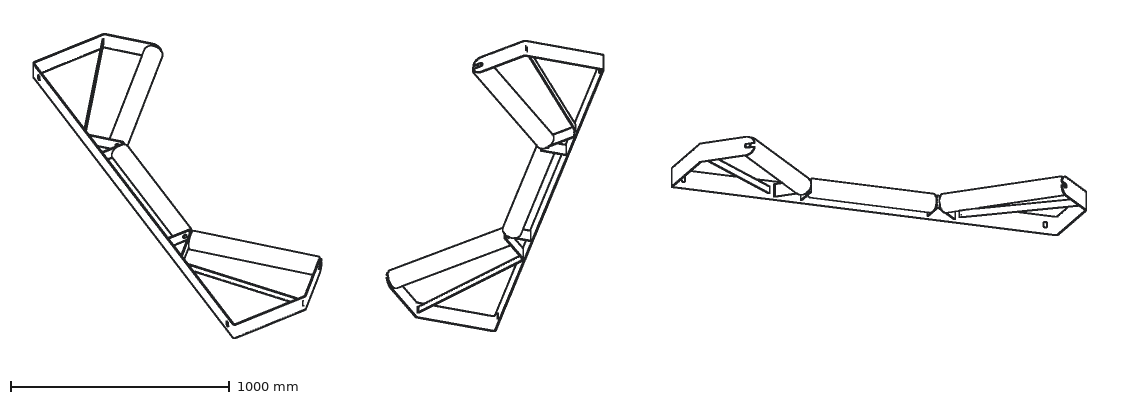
import cadquery as cq
import math

frame_length = 1890.0
strap_width = 89.0
strap_thickness = 5.0
bend_radius = 11.0
arm_tip_height = 569.0
knee_height = 376.0

mount_slot_inset = 60.0
mount_slot_width = 17.0
mount_slot_height = 28.0

roller_diameter = strap_width
roller_length = 601.0
roller_end_radius = 5.0
shaft_diameter = 19.0
shaft_length = 624.0
middle_roller_height = 98.0
wing_roller_drop = 34.0
shaft_slot_depth = 50.0

bracket_width = 60.0
bracket_height = 127.0
bracket_post_distance = 306.0
bracket_foot_distance = 445.0

brace_width = 34.0
brace_thickness = 5.0
brace_wall_height = 370.0
brace_base_distance = 463.0

half_length = frame_length / 2
wall_inner = half_length - strap_thickness
diagonal = math.sqrt(0.5)
arm_rise = arm_tip_height - knee_height
arm_tip_distance = half_length - arm_rise
knee_miter = strap_thickness * math.tan(math.radians(45) / 2)
shell_margin = (shaft_length - roller_length) / 2
sides = (-1, 1)
up = cq.Vector(0, 0, 1)


def extrude_outline(points, width):
    """Solid of the given plan outline, centred on the XY plane."""
    return cq.Workplane("XY").polyline(points).close().extrude(width / 2, both=True)


def on_side(side, half_outline):
    """Plan points for one side of the frame; each X is a distance from the middle."""
    return [(side * x, y) for x, y in half_outline]


def wing_axis(side):
    """Direction of a wing roller's shaft, from the arm down to the bracket."""
    return cq.Vector(-side * diagonal, -diagonal, 0)


def arm_point(side, drop):
    """Point on the middle of an arm's outer face, a given distance along it from the tip."""
    x = arm_tip_distance + drop * diagonal
    y = arm_tip_height - drop * diagonal
    return cq.Vector(side * x, y, 0)


middle_axis = cq.Vector(1, 0, 0)
middle_start = cq.Vector(-shaft_length / 2, middle_roller_height, 0)


def wing_start(side):
    """Upper end of a wing shaft, flush with the outer face of its arm."""
    return arm_point(side, wing_roller_drop)


def make_rod(start, axis, diameter, length):
    plane = cq.Plane(origin=start, xDir=up, normal=axis)
    return cq.Workplane(plane).circle(diameter / 2).extrude(length)


def make_shaft(start, axis):
    return make_rod(start, axis, shaft_diameter, shaft_length)


def make_roller(start, axis):
    shell = make_rod(start + axis * shell_margin, axis, roller_diameter, roller_length)
    shell = shell.edges("%CIRCLE").fillet(roller_end_radius)
    return shell.union(make_shaft(start, axis))


def arm_cutter_plane(side, drop):
    """Plane parallel to an arm, just outside it, with its X axis pointing to the arm tip."""
    axis = wing_axis(side)
    toward_tip = cq.Vector(-side * diagonal, diagonal, 0)
    return cq.Plane(origin=arm_point(side, drop) - axis * strap_thickness, xDir=toward_tip, normal=axis)


arm_cutter_depth = 3 * strap_thickness


def make_arm_end_waste(side):
    """Material outside the fully rounded end of an arm."""
    end = cq.Workplane(arm_cutter_plane(side, strap_width / 2))
    block = end.center(strap_width / 2, 0).rect(strap_width, strap_width).extrude(arm_cutter_depth)
    return block.cut(end.circle(strap_width / 2).extrude(arm_cutter_depth))


def make_shaft_slot(side):
    """Round-bottomed slot for a wing shaft, open at the arm tip."""
    slot = cq.Workplane(arm_cutter_plane(side, shaft_slot_depth - shaft_diameter / 2))
    bottom = slot.circle(shaft_diameter / 2).extrude(arm_cutter_depth)
    mouth = slot.center(shaft_slot_depth / 2, 0).rect(shaft_slot_depth, shaft_diameter)
    return bottom.union(mouth.extrude(arm_cutter_depth))


def make_mount_slot(side):
    centre = (side * (half_length - mount_slot_inset), strap_thickness, 0)
    slot = cq.Workplane("XZ", origin=centre).slot2D(mount_slot_height, mount_slot_width, 90)
    return slot.extrude(strap_thickness)


def make_frame():
    corner = (half_length, 0)
    knee = (half_length, knee_height)
    tip = (arm_tip_distance, arm_tip_height)
    inner_tip = (tip[0] - strap_thickness * diagonal, tip[1] - strap_thickness * diagonal)
    inner_knee = (wall_inner, knee_height - knee_miter)
    inner_corner = (wall_inner, strap_thickness)
    half_outline = [corner, knee, tip, inner_tip, inner_knee, inner_corner]
    outline = on_side(1, half_outline) + on_side(-1, reversed(half_outline))
    frame = extrude_outline(outline, strap_width)

    inner_radius = bend_radius - strap_thickness
    bends = [
        (corner, bend_radius),
        (knee, bend_radius),
        (inner_corner, inner_radius),
        (inner_knee, inner_radius),
    ]
    for side in sides:
        for (x, y), radius in bends:
            bend_edge = cq.selectors.NearestToPointSelector((side * x, y, 0))
            frame = frame.edges("|Z").edges(bend_edge).fillet(radius)
        frame = frame.cut(make_arm_end_waste(side))
        frame = frame.cut(make_shaft_slot(side))
        frame = frame.cut(make_mount_slot(side))
    return frame


def make_bracket(side):
    """Bent strap: upright post, short flat top and a leg sloping down to the base at 45 degrees."""
    post_far = bracket_post_distance + strap_thickness
    top_underside = bracket_height - strap_thickness
    leg_top = bracket_foot_distance - top_underside
    leg_inner_foot = bracket_foot_distance - strap_thickness / diagonal
    half_outline = [
        (bracket_post_distance, strap_thickness),
        (bracket_post_distance, bracket_height),
        (leg_top, bracket_height),
        (bracket_foot_distance, strap_thickness),
        (leg_inner_foot, strap_thickness),
        (leg_top - knee_miter, top_underside),
        (post_far, top_underside),
        (post_far, strap_thickness),
    ]
    bracket = extrude_outline(on_side(side, half_outline), bracket_width)
    bracket = bracket.cut(make_shaft(middle_start, middle_axis))
    return bracket.cut(make_shaft(wing_start(side), wing_axis(side)))


def make_brace(side):
    """Flat bar from the base up to the side wall, its ends cut to lie on both."""
    run = wall_inner - brace_base_distance
    rise = brace_wall_height - strap_thickness
    length = math.hypot(run, rise)
    wall_cut = brace_thickness * length / run
    base_cut = brace_thickness * length / rise
    half_outline = [
        (brace_base_distance, strap_thickness),
        (wall_inner, brace_wall_height),
        (wall_inner, brace_wall_height - wall_cut),
        (brace_base_distance + base_cut, strap_thickness),
    ]
    return extrude_outline(on_side(side, half_outline), brace_width)


frame = make_frame()
middle_roller = make_roller(middle_start, middle_axis)
wing_rollers = [make_roller(wing_start(side), wing_axis(side)) for side in sides]
brackets = [make_bracket(side) for side in sides]
braces = [make_brace(side) for side in sides]

bodies = [frame, middle_roller, *wing_rollers, *brackets, *braces]
result = cq.Compound.makeCompound([solid for body in bodies for solid in body.solids().vals()])